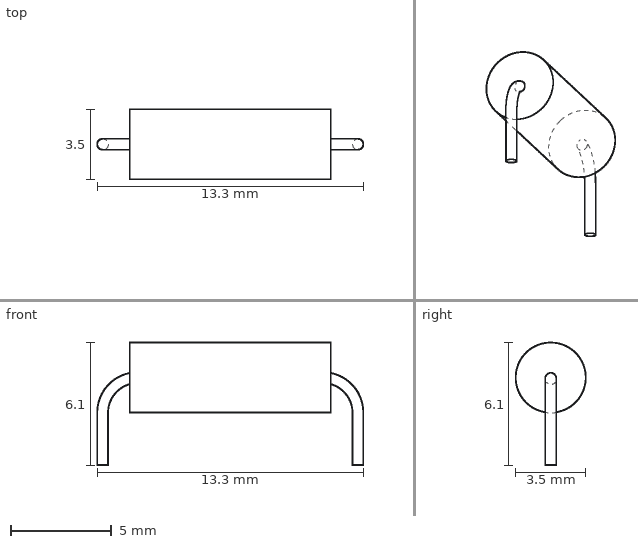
import cadquery as cq

body_diameter = 3.5
body_length = 10.0
lead_diameter = 0.55
lead_pitch = 12.7
leg_length = 2.6

axis_height = body_diameter / 2
bend_radius = axis_height
leg_x = lead_pitch / 2
bend_angle = 90


def make_body():
    """Plain cylinder along X, centred on X = 0."""
    return (
        cq.Workplane("YZ", origin=(-body_length / 2, 0, axis_height))
        .circle(body_diameter / 2)
        .extrude(body_length)
    )


def make_right_lead():
    """Vertical leg at +X with a quarter-circle bend into the body end."""
    leg = (
        cq.Workplane("XY", origin=(leg_x, 0, -leg_length))
        .circle(lead_diameter / 2)
        .extrude(leg_length)
    )
    bend = (
        cq.Workplane("XY", origin=(leg_x, 0, 0))
        .circle(lead_diameter / 2)
        .revolve(bend_angle, (-bend_radius, 0, 0), (-bend_radius, -1, 0))
    )
    return leg.union(bend, clean=False)


body = make_body()
right_lead = make_right_lead()
left_lead = right_lead.mirror("YZ")

result = body.union(right_lead, clean=False).union(left_lead, clean=False)